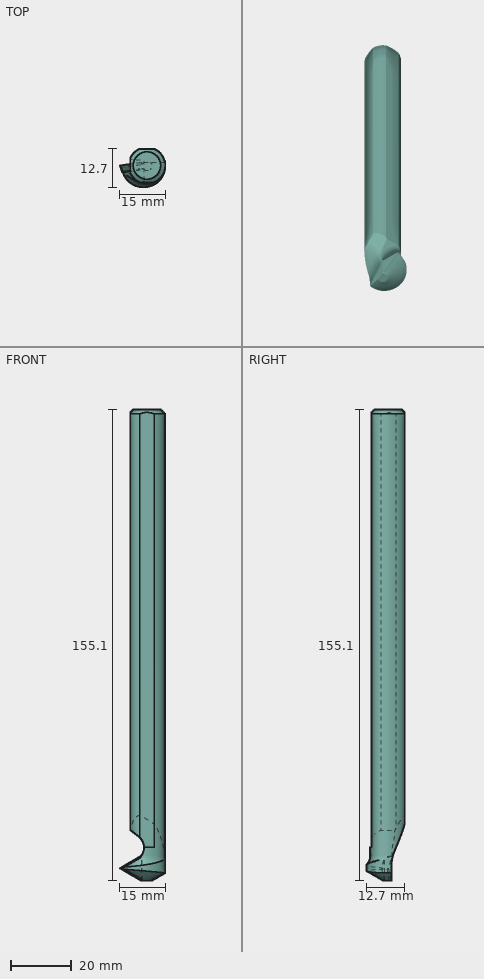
import cadquery as cq
import math


total_length = 155.05
shank_radius = 6.0
flat_distance = 5.5
end_chamfer = 1.5
flat_end_z = 11.05

head_radius = 7.19
head_axis_x = -1.1
head_slope = 30.0
nose_flat_radius = 1.6
flare_radius = 4.0
flare_top_z = 8.1
flare_reach = 3.4

chip_floor_y = 1.1
chip_arc_radius = 9.0
chip_slope = 30.0
chip_floor_top_z = 8.4
chip_tilt = 32.0

insert_tip_x = -8.9
insert_inscribed_diameter = 4.76
insert_thickness = 2.38
insert_relief = 5.0
insert_height = 1.5 * insert_inscribed_diameter
insert_tilt = math.degrees(math.asin(chip_floor_y / insert_height))
insert_half_side = insert_height * math.tan(math.radians(head_slope))
insert_tip_z = insert_half_side
insert_back_x = insert_tip_x + insert_height

neck_top_z = 16.7
neck_top_slope = 38.0
neck_radius = 4.6
insert_overhang = 0.4

clearance = 20.0


def make_shank():
    shank = cq.Workplane("XY").circle(shank_radius).extrude(total_length)
    shank = shank.faces(">Z").chamfer(end_chamfer)
    block = cq.Workplane("XY").box(clearance, clearance, total_length, centered=(True, True, False))
    offset = flat_distance + clearance / 2
    shank = shank.cut(block.translate((-offset, 0, 0)))
    shank = shank.cut(block.translate((0, offset, 0)))
    return shank.cut(block.translate((0, -offset, flat_end_z)))


def make_head_profile():
    """Turned shape about the shank axis: nose taper below, concave flare above."""
    outer_radius = shank_radius + flare_reach
    taper_height = (outer_radius - nose_flat_radius) * math.tan(math.radians(head_slope))

    def flare_point(radius):
        run = flare_radius - (radius - shank_radius)
        return (radius, flare_top_z - math.sqrt(flare_radius**2 - run**2))

    return (
        cq.Workplane("XZ")
        .lineTo(nose_flat_radius, 0)
        .lineTo(outer_radius, taper_height)
        .lineTo(*flare_point(outer_radius))
        .threePointArc(flare_point(shank_radius + flare_reach / 4), flare_point(shank_radius))
        .lineTo(0, flare_top_z)
        .close()
        .revolve(360, (0, 0, 0), (0, 1, 0))
    )


def make_head():
    disc = cq.Workplane("XY").center(head_axis_x, 0).circle(head_radius).extrude(flare_top_z)
    return make_head_profile().intersect(disc)


def make_head_space():
    """Space that the head takes up below the shank."""
    return cq.Workplane("XY").box(clearance, clearance, flare_top_z, centered=(True, True, False))


def make_neck_cutter():
    """Rounded V from the -X side, running through along Y."""
    upper = math.tan(math.radians(neck_top_slope))
    lower = math.tan(math.radians(head_slope))
    upper_at_axis = neck_top_z - flat_distance * upper
    lower_at_axis = insert_tip_z - insert_tip_x * lower - insert_overhang
    apex_x = (upper_at_axis - lower_at_axis) / (upper + lower)
    apex_z = lower_at_axis + apex_x * lower
    return (
        cq.Workplane("XZ")
        .moveTo(apex_x, apex_z)
        .lineTo(apex_x - clearance, apex_z + clearance * upper)
        .lineTo(apex_x - clearance, apex_z - clearance * lower)
        .close()
        .extrude(clearance, both=True)
        .edges("|Y and >X")
        .fillet(neck_radius)
    )


def make_chip_cutter():
    """Flat floor on +Y that sweeps up through an arc into a slope, tilted about Y."""
    angle = math.radians(chip_slope)

    def arc_point(turn):
        return (
            chip_floor_y + chip_arc_radius * (1 - math.cos(turn)),
            chip_floor_top_z + chip_arc_radius * math.sin(turn),
        )

    arc_end = arc_point(angle)
    outer_y = chip_floor_y + clearance
    slope_top_z = arc_end[1] + (outer_y - arc_end[0]) / math.tan(angle)
    return (
        cq.Workplane("YZ")
        .moveTo(chip_floor_y, -clearance)
        .lineTo(chip_floor_y, chip_floor_top_z)
        .threePointArc(arc_point(angle / 2), arc_end)
        .lineTo(outer_y, slope_top_z)
        .lineTo(outer_y, -clearance)
        .close()
        .extrude(clearance, both=True)
        .rotate((0, 0, chip_floor_top_z), (0, 1, chip_floor_top_z), chip_tilt)
    )


def insert_outline():
    return cq.Workplane("XZ").polyline(
        [
            (insert_tip_x, insert_tip_z),
            (insert_back_x, insert_tip_z - insert_half_side),
            (insert_back_x, insert_tip_z + insert_half_side),
        ]
    ).close()


def tilt_about_tip(body):
    return body.rotate((insert_tip_x, 0, 0), (insert_tip_x, 0, 1), insert_tilt)


def make_insert():
    return tilt_about_tip(insert_outline().extrude(insert_thickness, taper=insert_relief))


def make_bar(insert):
    bar = make_shank().cut(make_head_space()).union(make_head())
    bar = bar.cut(make_neck_cutter()).cut(make_chip_cutter())
    space_above_insert = tilt_about_tip(insert_outline().extrude(-2 * chip_floor_y))
    return bar.cut(space_above_insert).cut(insert)


insert = make_insert()
bar = make_bar(insert)

result = cq.Compound.makeCompound([bar.solids().val(), insert.solids().val()])